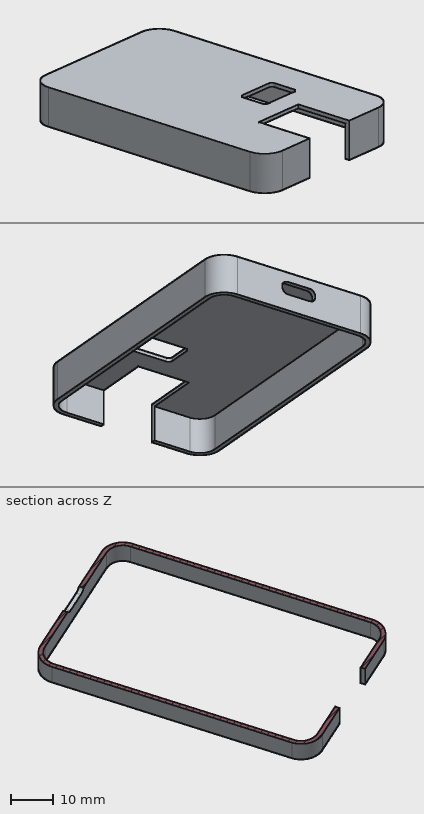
import cadquery as cq

length = 73.0
width = 46.0
height = 10.1
corner_radius = 5.5
wall = 1.25
roof = 1.0

window_length = 7.95
window_width = 11.5
window_x = 11.0
window_y = 7.6
window_radius = 1.0

notch_depth = 15.7
notch_width = 14.4
notch_y = -0.3

slot_length = 9.4
slot_height = 3.35
slot_z = 5.9


def rounded_block(x_size, y_size, z_size, radius):
    """Block standing on Z = 0 with rounded vertical edges."""
    block = cq.Workplane("XY").box(x_size, y_size, z_size, centered=(True, True, False))
    return block.edges("|Z").fillet(radius)


def shell():
    outer = rounded_block(length, width, height, corner_radius)
    cavity = rounded_block(
        length - 2 * wall, width - 2 * wall, height - roof, corner_radius - wall
    )
    return outer.cut(cavity)


def window():
    cutter = rounded_block(window_length, window_width, height, window_radius)
    return cutter.translate((window_x, window_y, 0))


def notch():
    cutter = cq.Workplane("XY").box(notch_depth, notch_width, height, centered=(True, True, False))
    return cutter.translate(((length - notch_depth) / 2, notch_y, 0))


def connector_slot():
    return (
        cq.Workplane("YZ", origin=(-length / 2, 0, slot_z))
        .slot2D(slot_length, slot_height)
        .extrude(wall)
    )


result = shell().cut(window()).cut(notch()).cut(connector_slot())